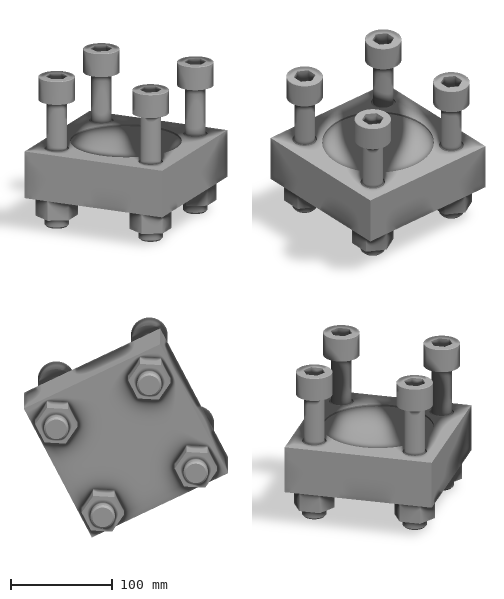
import cadquery as cq
import math

TOTAL_HEIGHT = 154.0
HEAD_HEIGHT = 24.0
NECK_LENGTH = 50.0
PLATE_THICKNESS = 48.0
NUT_HEIGHT = 21.1

HEAD_BOTTOM = TOTAL_HEIGHT - HEAD_HEIGHT
PLATE_TOP = HEAD_BOTTOM - NECK_LENGTH
PLATE_BOTTOM = PLATE_TOP - PLATE_THICKNESS
NUT_BOTTOM = PLATE_BOTTOM - NUT_HEIGHT

PLATE_SIDE = 150.0
RECESS_DIAMETER = 110.0
RECESS_DEPTH = 2.0

SCREW_SPACING = 102.4
HEAD_DIAMETER = 36.0
HEAD_CHAMFER = 0.5
NECK_DIAMETER = 20.3
THREAD_DIAMETER = 24.0
THREAD_CHAMFER = (THREAD_DIAMETER - NECK_DIAMETER) / 2
SOCKET_ACROSS_FLATS = 19.0
SOCKET_DEPTH = 12.0
NUT_ACROSS_FLATS = HEAD_DIAMETER


def cylinder(diameter, bottom, top):
    """Upright cylinder between two heights."""
    return cq.Workplane("XY").workplane(offset=bottom).circle(diameter / 2).extrude(top - bottom)


def hexagon_prism(across_flats, bottom, top):
    """Upright hexagonal prism with two of its corners on the Y axis."""
    across_corners = across_flats / math.cos(math.pi / 6)
    return (
        cq.Workplane("XY")
        .workplane(offset=bottom)
        .transformed(rotate=(0, 0, 90))
        .polygon(6, across_corners)
        .extrude(top - bottom)
    )


def make_plate():
    plate = (
        cq.Workplane("XY")
        .workplane(offset=PLATE_BOTTOM)
        .rect(PLATE_SIDE, PLATE_SIDE)
        .extrude(PLATE_THICKNESS)
    )
    return plate.cut(cylinder(RECESS_DIAMETER, PLATE_TOP - RECESS_DEPTH, PLATE_TOP))


def make_screw_with_nut():
    head = cylinder(HEAD_DIAMETER, HEAD_BOTTOM, TOTAL_HEIGHT).faces(">Z").chamfer(HEAD_CHAMFER)
    socket = hexagon_prism(SOCKET_ACROSS_FLATS, TOTAL_HEIGHT - SOCKET_DEPTH, TOTAL_HEIGHT)
    neck = cylinder(NECK_DIAMETER, PLATE_TOP, HEAD_BOTTOM)
    thread = cylinder(THREAD_DIAMETER, 0, PLATE_TOP).faces("<Z or >Z").chamfer(THREAD_CHAMFER)
    nut = hexagon_prism(NUT_ACROSS_FLATS, NUT_BOTTOM, PLATE_BOTTOM)
    return head.cut(socket).union(neck).union(thread).union(nut)


result = make_plate()
screw_hole = cylinder(THREAD_DIAMETER, PLATE_BOTTOM, PLATE_TOP)
screw = make_screw_with_nut()
for x_side in (-1, 1):
    for y_side in (-1, 1):
        position = (x_side * SCREW_SPACING / 2, y_side * SCREW_SPACING / 2, 0)
        result = result.cut(screw_hole.translate(position))
        result = result.union(screw.translate(position))